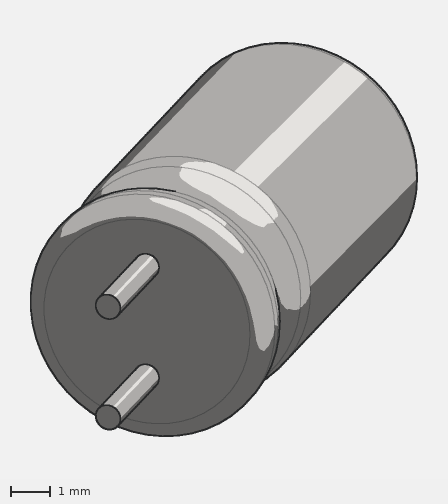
import cadquery as cq
import math

total_length = 15.0
can_length = 12.0
can_diameter = 6.5
rim_radius = 0.5

groove_center = 2.01
groove_half_width = 1.26
waist_half_width = 0.81
groove_depth = 0.3

lead_diameter = 0.66
lead_spacing = 3.0

can_radius = can_diameter / 2
lead_length = total_length - can_length

slope_angle = 2 * math.atan(groove_depth / groove_half_width)
shoulder_radius = (groove_half_width - waist_half_width) / math.sin(slope_angle)


def shoulder_point(side, angle):
    """Point on a shoulder arc; angle is zero where it leaves the can wall."""
    drop = shoulder_radius * (1 - math.cos(angle))
    inward = shoulder_radius * math.sin(angle)
    return can_radius - drop, groove_center + side * (groove_half_width - inward)


def make_can():
    """Revolve the half outline, with rounded rims and the crimp groove."""
    rim_inner = can_radius - rim_radius
    rim_midpoint = rim_inner + rim_radius * math.sqrt(0.5)
    rim_offset = rim_radius * (1 - math.sqrt(0.5))
    outline = (
        cq.Workplane("XY")
        .lineTo(rim_inner, 0)
        .threePointArc((rim_midpoint, rim_offset), (can_radius, rim_radius))
        .lineTo(*shoulder_point(-1, 0))
        .threePointArc(shoulder_point(-1, slope_angle / 2), shoulder_point(-1, slope_angle))
        .threePointArc((can_radius - groove_depth, groove_center), shoulder_point(1, slope_angle))
        .threePointArc(shoulder_point(1, slope_angle / 2), shoulder_point(1, 0))
        .lineTo(can_radius, can_length - rim_radius)
        .threePointArc((rim_midpoint, can_length - rim_offset), (rim_inner, can_length))
        .lineTo(0, can_length)
        .close()
    )
    return outline.revolve(360, (0, 0, 0), (0, 1, 0))


def make_leads():
    """Two straight round leads, one above the other, pointing toward -Y."""
    return (
        cq.Workplane("XZ")
        .pushPoints([(0, -lead_spacing / 2), (0, lead_spacing / 2)])
        .circle(lead_diameter / 2)
        .extrude(lead_length)
    )


result = make_can().union(make_leads())